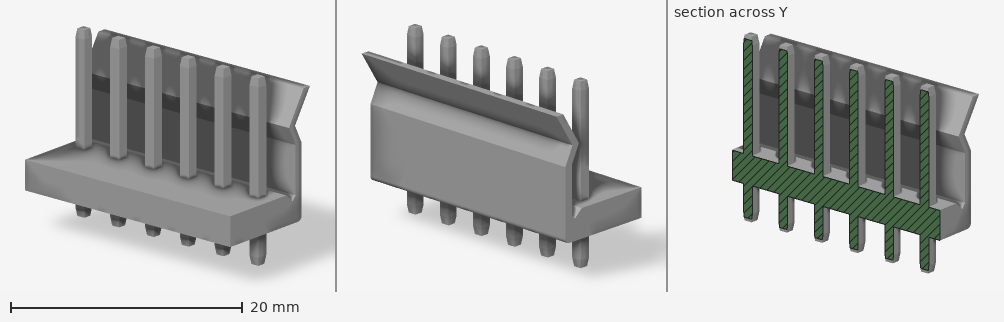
import cadquery as cq

LENGTH = 23.35
BASE_HEIGHT = 2.8
BACK_Y = 9.45
CORNER_RADIUS = 0.5

WALL_THICKNESS = 0.8
WALL_BEND_Z = 7.08
LATCH_Z = 8.85
LATCH_OFFSET = 0.89
FLARE_TOP_Z = 11.98
FLARE_TIP_Y = 10.55
FLARE_THICKNESS = 0.85

GROOVE_BOTTOM_Y = 8.27
GROOVE_BOTTOM_Z = 2.05
GROOVE_WALL_Z = 2.5
GROOVE_FRONT_Y = 7.43

PIN_COUNT = 6
PIN_END_MARGIN = 1.78
PIN_PITCH = (LENGTH - 2 * PIN_END_MARGIN) / (PIN_COUNT - 1)
PIN_SIZE = 1.03
PIN_TIP_SIZE = 0.8
PIN_TAPER = 0.8
PIN_Y = 5.72
PIN_BELOW = 3.39
PIN_ABOVE = 10.9


def make_housing():
    """Extrude the side profile along the full length, then round the lower back corner."""
    wall_inner_y = BACK_Y - WALL_THICKNESS
    latch_outer_y = BACK_Y - LATCH_OFFSET
    profile = [
        (0, 0),
        (BACK_Y, 0),
        (BACK_Y, WALL_BEND_Z),
        (latch_outer_y, LATCH_Z),
        (FLARE_TIP_Y, FLARE_TOP_Z),
        (FLARE_TIP_Y - FLARE_THICKNESS, FLARE_TOP_Z),
        (latch_outer_y - WALL_THICKNESS, LATCH_Z),
        (wall_inner_y, WALL_BEND_Z),
        (wall_inner_y, GROOVE_WALL_Z),
        (GROOVE_BOTTOM_Y, GROOVE_BOTTOM_Z),
        (GROOVE_FRONT_Y, BASE_HEIGHT),
        (0, BASE_HEIGHT),
    ]
    body = cq.Workplane("YZ").polyline(profile).close().extrude(LENGTH / 2, both=True)
    return body.faces("<Z").edges(">Y").fillet(CORNER_RADIUS)


def make_tip(shoulder_z, direction):
    """Taper from the pin section at shoulder_z to the smaller end; direction is +1 up or -1 down."""
    return (
        cq.Workplane("XY", origin=(0, 0, shoulder_z))
        .rect(PIN_SIZE, PIN_SIZE)
        .workplane(offset=direction * PIN_TAPER)
        .rect(PIN_TIP_SIZE, PIN_TIP_SIZE)
        .loft(ruled=True)
    )


def make_pin():
    """Build one pin about the Z axis, at its height in the housing."""
    lower_shoulder_z = PIN_TAPER - PIN_BELOW
    upper_shoulder_z = BASE_HEIGHT + PIN_ABOVE - PIN_TAPER
    shaft = (
        cq.Workplane("XY", origin=(0, 0, lower_shoulder_z))
        .rect(PIN_SIZE, PIN_SIZE)
        .extrude(upper_shoulder_z - lower_shoulder_z)
    )
    return shaft.union(make_tip(upper_shoulder_z, 1)).union(make_tip(lower_shoulder_z, -1))


result = make_housing()
pin = make_pin()
for index in range(PIN_COUNT):
    pin_x = PIN_END_MARGIN - LENGTH / 2 + index * PIN_PITCH
    result = result.union(pin.translate((pin_x, PIN_Y, 0)))